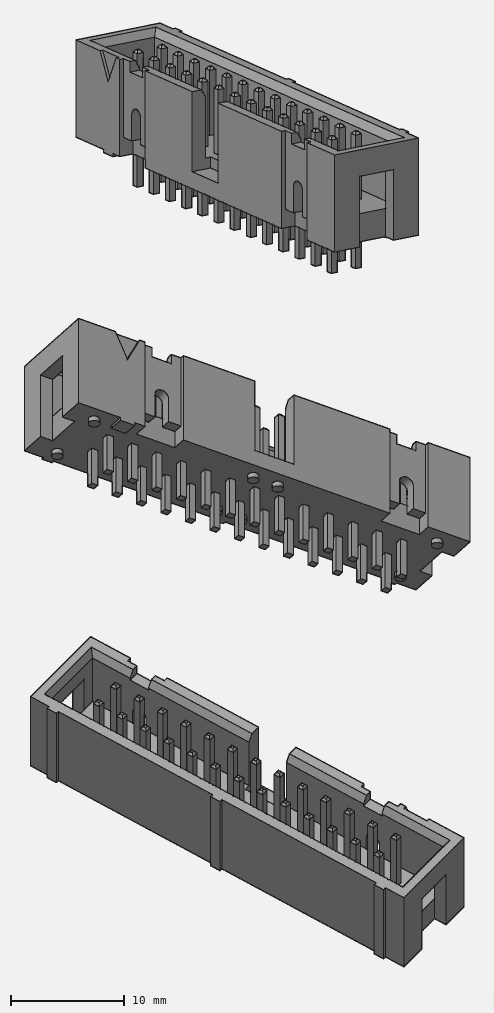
import cadquery as cq


length = 40.65
depth = 8.9
height = 8.95
end_wall = 1.25
side_wall = 1.42
floor_top = 2.6
lead_in_width = 0.45
lead_in_height = 0.75

pitch = 2.54
pins_per_row = 13
pin_size = 0.65
pin_top = 8.8
pin_bottom = -3.7
pin_tip_height = 0.25
pin_tip_inset = 0.2

end_window_width = 3.58
end_window_top = 6.5

key_width = 4.05
key_bottom = 1.6
key_reach = 1.95

latch_offsets = [1.5, 11.5]
recess_width = 4.0
recess_depth = 0.4
recess_foot_height = 1.7
arch_width = 1.42
arch_top = 4.8
notch_width = 2.0
notch_height = 0.98

mark_width = 2.5
mark_height = 2.5
mark_depth = 0.3
tab_size = 1.5
tab_height = 0.3

standoff_diameter = 1.0
standoff_height = 0.5
standoff_row = 3.0
outer_position = 17.8
rib_width = 1.0
rib_depth = 0.3

front = -depth / 2
back = depth / 2
cavity_front = front + side_wall
first_pin = -pitch * (pins_per_row - 1) / 2
pin_positions = [first_pin + i * pitch for i in range(pins_per_row)]
latch_positions = [first_pin + pitches * pitch for pitches in latch_offsets]
standoff_positions = [-outer_position, -pitch / 2, pitch / 2, outer_position]
rib_positions = [-outer_position, 0, outer_position]


def block(x_range, y_range, z_range):
    """Axis-aligned box from its lower and upper limits."""
    size = [r[1] - r[0] for r in (x_range, y_range, z_range)]
    corner = (x_range[0], y_range[0], z_range[0])
    return cq.Workplane("XY").box(*size, centered=False).translate(corner)


def centred(x, width):
    """Limits of a span of the given width about x."""
    return (x - width / 2, x + width / 2)


def shell():
    """Open-topped housing with a sloped lead-in around the mouth."""
    inner_length = length - 2 * end_wall
    inner_depth = depth - 2 * side_wall
    body = block(centred(0, length), (front, back), (0, height))
    cavity = block(centred(0, inner_length), centred(0, inner_depth), (floor_top, height))
    lead_in = (
        cq.Workplane("XY", origin=(0, 0, height - lead_in_height))
        .rect(inner_length, inner_depth)
        .workplane(offset=lead_in_height)
        .rect(inner_length + 2 * lead_in_width, inner_depth + 2 * lead_in_width)
        .loft(ruled=True)
    )
    return body.cut(cavity).cut(lead_in)


def end_window(side):
    """Slot through an end wall, open at the underside; side is -1 or 1."""
    outer = side * length / 2
    inner = side * (length / 2 - end_wall)
    x_range = (min(outer, inner), max(outer, inner))
    return block(x_range, centred(0, end_window_width), (0, end_window_top))


def latch_cut(x):
    """Shallow front recess with a rim notch, an arched opening and a deep foot."""
    wall = (front, cavity_front)
    recess = block(centred(x, recess_width), (front, front + recess_depth), (0, height))
    foot = block(centred(x, recess_width), wall, (0, recess_foot_height))
    notch = block(centred(x, notch_width), wall, (height - notch_height, height))
    arch_centre = arch_top - arch_width / 2
    half = arch_width / 2
    arch = (
        cq.Workplane("XZ", origin=(x, front, 0))
        .moveTo(-half, 0)
        .lineTo(half, 0)
        .lineTo(half, arch_centre)
        .threePointArc((0, arch_top), (-half, arch_centre))
        .close()
        .extrude(-side_wall)
    )
    return recess.union(foot).union(notch).union(arch)


def pin_one_mark():
    """Engraved triangle pointing down at pin 1."""
    return (
        cq.Workplane("XZ", origin=(first_pin, front, height))
        .polyline([(-mark_width / 2, 0), (mark_width / 2, 0), (0, -mark_height)])
        .close()
        .extrude(-mark_depth)
    )


def pin(x, y):
    """Square pin with a chamfered upper tip."""
    body = block(centred(x, pin_size), centred(y, pin_size), (pin_bottom, pin_top))
    return body.faces(">Z").chamfer(pin_tip_height, pin_tip_inset)


def standoff(x, y):
    """Short round foot under the housing."""
    return cq.Workplane("XY", origin=(x, y, 0)).circle(standoff_diameter / 2).extrude(-standoff_height)


result = shell()
for side in (-1, 1):
    result = result.cut(end_window(side))
for x in latch_positions:
    result = result.cut(latch_cut(x))
result = result.cut(block(centred(0, key_width), (front, front + key_reach), (key_bottom, height)))
result = result.cut(pin_one_mark())

for x in rib_positions:
    result = result.union(block(centred(x, rib_width), (back, back + rib_depth), (0, height)))
for x in standoff_positions:
    for y in (-standoff_row, standoff_row):
        result = result.union(standoff(x, y))
result = result.union(block(centred(first_pin, tab_size), (front, front + tab_size), (-tab_height, 0)))

for x in pin_positions:
    for y in (-pitch / 2, pitch / 2):
        result = result.union(pin(x, y))